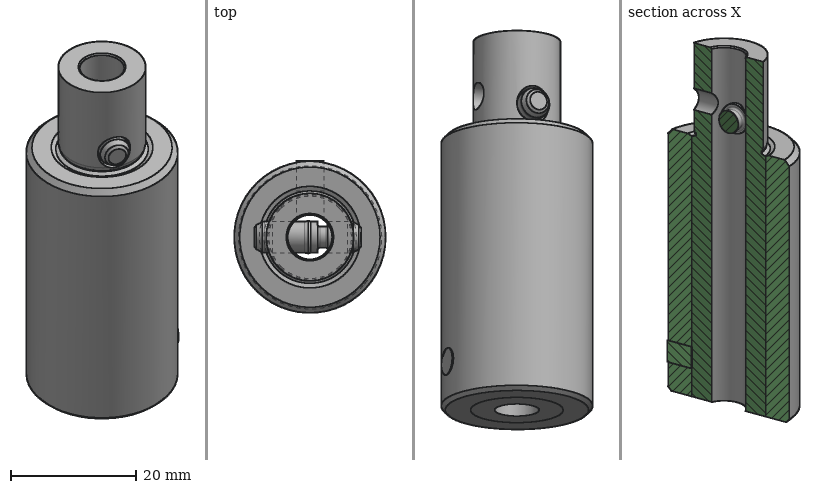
import cadquery as cq
import math

sleeve_diameter = 24.25
sleeve_radius = sleeve_diameter / 2
sleeve_height = 45.2
sleeve_top_chamfer = 0.9
sleeve_bottom_chamfer = 0.7
sleeve_bore_radius = 7.4
bore_mouth_width = 0.75
bore_mouth_depth = 0.3

total_height = 61.1
nose_diameter = 14.0
nose_radius = nose_diameter / 2
nose_base_chamfer = 0.2
nose_base_z = 46.3
neck_radius = 6.6
neck_top_z = 45.5
flare_top_z = sleeve_height
shaft_bore_radius = 3.55
shaft_bore_chamfer = 0.25
side_hole_radius = 2.2
side_hole_z = 51.4

pin_radius = 2.5
pin_z = 49.05
pin_center_x = -0.35
pin_half_length = 8.55
pin_tip_radius = 1.45
pin_tip_bevel_radius = 1.95
pin_tip_bevel_length = 0.35
pin_cone_radius = 2.45
pin_cone_length = 0.9
pin_shoulder_length = 0.35
pin_ridge_radius = 2.6
pin_ridge_start_x = -0.9
pin_ridge_peak_x = -0.25
pin_ridge_end_x = 0.1
pin_groove_radius = 1.7
pin_groove_start_x = 1.2
pin_groove_end_x = 2.9
pin_groove_fillet = 0.35

countersink_radius = 3.0
countersink_inner_x = 6.0
countersink_outer_x = nose_radius

screw_radius = 2.2
screw_z = 6.7
screw_protrusion = 0.05
screw_tip_y = sleeve_radius + screw_protrusion


def along_x(workplane):
    """Turn a body built about the Z axis so that its axis is the pin axis."""
    return workplane.rotate((0, 0, 0), (0, 1, 0), 90).translate((0, 0, pin_z))


def cylinder_along_y(radius, start_y, end_y, z):
    """Cylinder with its axis along Y at the given height."""
    plane = cq.Plane(origin=(0, start_y, z), xDir=(1, 0, 0), normal=(0, 1, 0))
    return cq.Workplane(plane).circle(radius).extrude(end_y - start_y)


def make_sleeve():
    barrel = cq.Workplane("XY").circle(sleeve_radius).extrude(sleeve_height)
    barrel = barrel.faces(">Z").edges().chamfer(sleeve_top_chamfer)
    barrel = barrel.faces("<Z").edges().chamfer(sleeve_bottom_chamfer)
    barrel = barrel.cut(cq.Workplane("XY").circle(sleeve_bore_radius).extrude(sleeve_height))
    bore_mouth = cq.Workplane(
        cq.Solid.makeCone(
            sleeve_bore_radius,
            sleeve_bore_radius + bore_mouth_width,
            bore_mouth_depth,
            cq.Vector(0, 0, sleeve_height - bore_mouth_depth),
        )
    )
    barrel = barrel.cut(bore_mouth)
    return barrel.cut(cylinder_along_y(screw_radius, 0, sleeve_radius, screw_z))


def make_countersink(side):
    """Cone that opens outwards, on the side of the nose given by -1 or +1."""
    cone = cq.Solid.makeCone(
        pin_radius,
        countersink_radius,
        countersink_outer_x - countersink_inner_x,
        cq.Vector(side * countersink_inner_x, 0, pin_z),
        cq.Vector(side, 0, 0),
    )
    return cq.Workplane(cone)


def make_shaft():
    flare_base_z = sleeve_height - bore_mouth_depth
    body = (
        cq.Workplane("XZ")
        .moveTo(0, 0)
        .lineTo(sleeve_bore_radius, 0)
        .lineTo(sleeve_bore_radius, flare_base_z)
        .lineTo(neck_radius, flare_top_z)
        .lineTo(neck_radius, neck_top_z)
        .lineTo(nose_radius - nose_base_chamfer, neck_top_z)
        .lineTo(nose_radius, nose_base_z)
        .lineTo(nose_radius, total_height)
        .lineTo(0, total_height)
        .close()
        .revolve(360, (0, 0, 0), (0, 1, 0))
    )
    bore = cq.Workplane("XY").circle(shaft_bore_radius).extrude(total_height)
    body = body.cut(bore)
    body = body.faces(">Z").edges(cq.selectors.RadiusNthSelector(0)).chamfer(shaft_bore_chamfer)

    pin_hole = along_x(cq.Workplane("XY").circle(pin_radius).extrude(nose_radius, both=True))
    body = body.cut(pin_hole)
    for side in (-1, 1):
        body = body.cut(make_countersink(side))

    return body.cut(cylinder_along_y(side_hole_radius, 0, nose_radius, side_hole_z))


def pin_end_points(side):
    """Half outline (radius, x) of one pin end, from the tip inwards."""
    tip_x = pin_half_length
    cone_start_x = tip_x - pin_tip_bevel_length
    cone_end_x = cone_start_x - pin_cone_length
    shoulder_x = cone_end_x - pin_shoulder_length
    outline = [
        (0, tip_x),
        (pin_tip_radius, tip_x),
        (pin_tip_bevel_radius, cone_start_x),
        (pin_cone_radius, cone_end_x),
        (pin_radius, shoulder_x),
    ]
    return [(radius, pin_center_x + side * x) for radius, x in outline]


def make_pin():
    ridge = [
        (pin_radius, pin_ridge_start_x),
        (pin_ridge_radius, pin_ridge_peak_x),
        (pin_radius, pin_ridge_end_x),
    ]
    groove = [
        (pin_radius, pin_groove_start_x),
        (pin_groove_radius + pin_groove_fillet, pin_groove_start_x),
    ]
    outline = pin_end_points(-1) + ridge + groove
    inset = pin_groove_fillet * (1 - math.sqrt(0.5))
    profile = (
        cq.Workplane("XZ")
        .polyline(outline)
        .threePointArc(
            (pin_groove_radius + inset, pin_groove_start_x + inset),
            (pin_groove_radius, pin_groove_start_x + pin_groove_fillet),
        )
        .lineTo(pin_groove_radius, pin_groove_end_x - pin_groove_fillet)
        .threePointArc(
            (pin_groove_radius + inset, pin_groove_end_x - inset),
            (pin_groove_radius + pin_groove_fillet, pin_groove_end_x),
        )
        .lineTo(pin_radius, pin_groove_end_x)
    )
    for radius, x in reversed(pin_end_points(1)):
        profile = profile.lineTo(radius, x)
    return along_x(profile.close().revolve(360, (0, 0, 0), (0, 1, 0)))


def make_set_screw():
    return cylinder_along_y(screw_radius, sleeve_bore_radius, screw_tip_y, screw_z)


sleeve = make_sleeve()
shaft = make_shaft()
pin = make_pin()
set_screw = make_set_screw()

result = cq.Compound.makeCompound([sleeve.val(), shaft.val(), pin.val(), set_screw.val()])